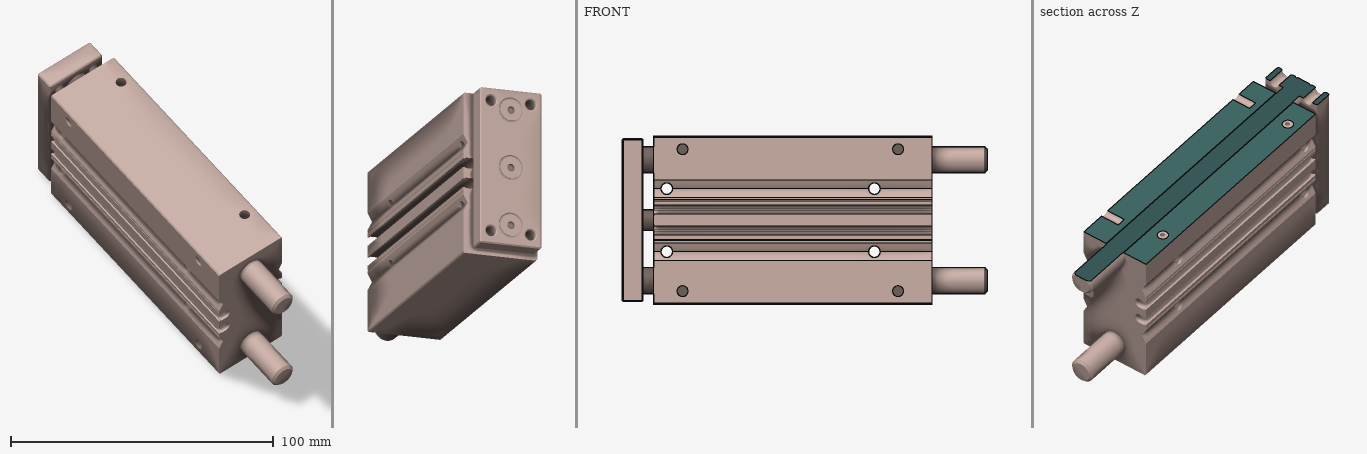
import cadquery as cq
import math


total_length = 139.0
plate_thickness = 8.0
plate_gap = 4.0
housing_length = 106.0
housing_start = plate_thickness + plate_gap
housing_end = housing_start + housing_length

housing_width = 30.0
housing_height = 64.0
housing_chamfer = 0.5

v_height = 12.0
v_half_width = 3.35
v_depth = 1.8

slot_height = 4.0
slot_mouth_width = 3.4
slot_lip_depth = 0.6
slot_width = 4.2
slot_shoulder_depth = slot_lip_depth + (slot_width - slot_mouth_width) / 2
slot_depth = 5.0
slot_floor_width = 0.8
slot_floor_radius = (slot_width - slot_floor_width) / 2

mark_height = 7.55
mark_diameter = 0.6
mark_depth = 0.15

through_diameter = 4.3
through_positions = (housing_start + 5.0, housing_start + 84.0)
thread_diameter = 4.13
side_thread_height = 27.0
side_thread_depth = 8.0
side_thread_positions = (housing_start + 11.0, housing_end - 13.0)
port_y = 10.0
port_positions = (housing_start + 11.0, housing_end - 17.0)
port_depth = 6.0
port_passage_diameter = 2.0
port_passage_depth = 12.0

guide_height = 23.0
guide_diameter = 10.0
guide_chamfer = 1.0
piston_diameter = 8.0
piston_end = housing_start + housing_length / 2

plate_width = 25.0
plate_height = 62.0
plate_chamfer = 0.5
corner_hole_y = 8.0
corner_hole_z = 26.0
corner_hole_mouth = 5.0
corner_hole_angle = 90.0
ring_outer_diameter = 10.0
ring_inner_diameter = 8.5
ring_floor_diameter = 9.5
ring_depth = 0.4
centre_hole_diameter = 3.0
centre_hole_depth = 1.5


def rod(diameter, start, end, height):
    """Cylinder along X at the given Z height."""
    return (
        cq.Workplane("YZ", origin=(start, 0, height))
        .circle(diameter / 2)
        .extrude(end - start)
    )


def side_hole(diameter, depth, x, z):
    """Drill entering the -Y side of the housing."""
    return (
        cq.Workplane("XZ", origin=(x, -housing_width / 2, z))
        .circle(diameter / 2)
        .extrude(-depth)
    )


def top_hole(diameter, depth, x):
    """Drill entering the top of the housing."""
    return (
        cq.Workplane("XY", origin=(x, port_y, housing_height / 2))
        .circle(diameter / 2)
        .extrude(-depth)
    )


def housing_section():
    """Workplane at the plate end of the housing; its axes are Y and Z."""
    return cq.Workplane("YZ", origin=(housing_start, 0, 0))


def v_groove(side, z):
    face = side * housing_width / 2
    return (
        housing_section()
        .moveTo(face, z - v_half_width)
        .lineTo(face - side * v_depth, z)
        .lineTo(face, z + v_half_width)
        .close()
        .extrude(housing_length)
    )


def sensor_slot(side, z):
    """Slot with a narrow mouth and a rounded floor."""
    face = side * housing_width / 2
    lip = face - side * slot_lip_depth
    shoulder = face - side * slot_shoulder_depth
    floor = face - side * slot_depth
    wall_end = floor + side * slot_floor_radius
    arc_y = wall_end - side * slot_floor_radius * math.sqrt(0.5)
    arc_z = slot_floor_width / 2 + slot_floor_radius * math.sqrt(0.5)
    return (
        housing_section()
        .moveTo(face, z - slot_mouth_width / 2)
        .lineTo(lip, z - slot_mouth_width / 2)
        .lineTo(shoulder, z - slot_width / 2)
        .lineTo(wall_end, z - slot_width / 2)
        .threePointArc((arc_y, z - arc_z), (floor, z - slot_floor_width / 2))
        .lineTo(floor, z + slot_floor_width / 2)
        .threePointArc((arc_y, z + arc_z), (wall_end, z + slot_width / 2))
        .lineTo(shoulder, z + slot_width / 2)
        .lineTo(lip, z + slot_mouth_width / 2)
        .lineTo(face, z + slot_mouth_width / 2)
        .close()
        .extrude(housing_length)
    )


def mark_groove(side, z):
    return (
        housing_section()
        .center(side * (housing_width / 2 + mark_diameter / 2 - mark_depth), z)
        .circle(mark_diameter / 2)
        .extrude(housing_length)
    )


def make_housing():
    body = (
        housing_section()
        .rect(housing_width, housing_height)
        .extrude(housing_length)
        .edges("|X")
        .chamfer(housing_chamfer)
    )
    for half in (-1, 1):
        for side in (-1, 1):
            body = body.cut(v_groove(side, half * v_height))
            body = body.cut(sensor_slot(side, half * slot_height))
            body = body.cut(mark_groove(side, half * mark_height))
        for x in through_positions:
            body = body.cut(side_hole(through_diameter, housing_width, x, half * v_height))
        for x in side_thread_positions:
            body = body.cut(side_hole(thread_diameter, side_thread_depth, x, half * side_thread_height))
        body = body.cut(rod(guide_diameter, housing_start, housing_end, half * guide_height))
    for x in port_positions:
        body = body.cut(top_hole(thread_diameter, port_depth, x))
        body = body.cut(top_hole(port_passage_diameter, port_passage_depth, x))
    return body.cut(rod(piston_diameter, housing_start, piston_end, 0))


def rod_end_cut(z):
    """Shallow ring groove around a rod end, with a small centre hole, in the outer plate face."""
    ring = (
        cq.Workplane("XY")
        .moveTo(0, ring_inner_diameter / 2)
        .lineTo(ring_depth, ring_inner_diameter / 2)
        .lineTo(ring_depth, ring_floor_diameter / 2)
        .lineTo(0, ring_outer_diameter / 2)
        .close()
        .revolve(360, (0, 0, 0), (1, 0, 0))
    )
    return ring.translate((0, 0, z)).union(rod(centre_hole_diameter, 0, centre_hole_depth, z))


def make_plate():
    return (
        cq.Workplane("YZ")
        .rect(plate_width, plate_height)
        .extrude(plate_thickness)
        .edges()
        .chamfer(plate_chamfer)
        .faces("<X")
        .workplane(centerOption="CenterOfBoundBox")
        .rect(2 * corner_hole_y, 2 * corner_hole_z, forConstruction=True)
        .vertices()
        .cskHole(thread_diameter, corner_hole_mouth, corner_hole_angle)
    )


def make_carriage():
    """Tool plate with the piston rod and both guide rods."""
    body = make_plate()
    body = body.union(rod(piston_diameter, plate_thickness, piston_end, 0))
    for half in (-1, 1):
        guide = (
            rod(guide_diameter, plate_thickness, total_length, half * guide_height)
            .faces(">X")
            .chamfer(guide_chamfer)
        )
        body = body.union(guide)
    for z in (-guide_height, 0, guide_height):
        body = body.cut(rod_end_cut(z))
    return body


housing = make_housing()
carriage = make_carriage()

result = cq.Compound.makeCompound([housing.val(), carriage.val()])